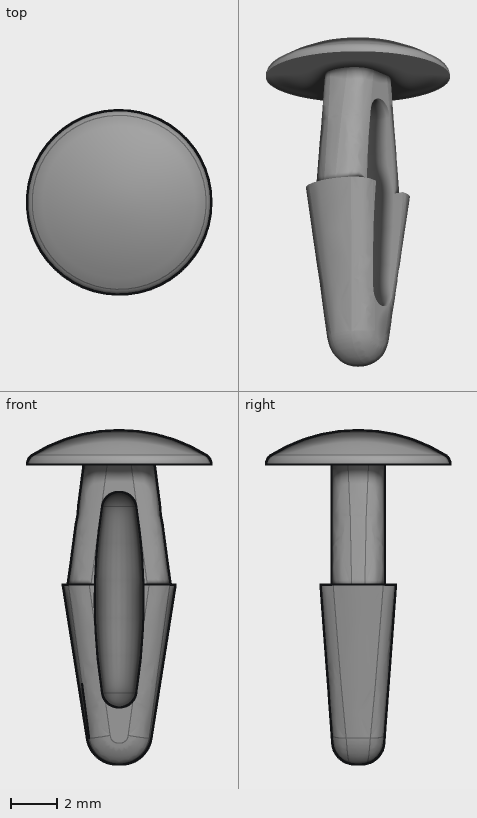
import cadquery as cq
import math


head_radius = 4.0
head_height = 1.5
dome_radius = 7.1

ledge_z = -5.2
tip_z = -13.0
neck_top_radius = 1.55
neck_ledge_radius = 2.24
neck_half_thickness = 1.16
tail_ledge_radius = 2.45
tail_tip_radius = 1.22
tail_ledge_half_thickness = 1.64
tail_tip_half_thickness = 1.06
corner_radius = 1.0
tip_fillet = 1.36
end_margin = 0.1

pocket_center_z = -5.85
pocket_half_length = 4.67
pocket_half_width = 1.06
pocket_end_radius = 0.75
pocket_axis_y = -0.52


def make_head():
    """Low dome whose rim is rounded down to the flat underside."""
    dome_center_z = head_height - dome_radius
    rim_gap = dome_radius**2 - dome_center_z**2 - head_radius**2
    rim_arc_radius = rim_gap / (2 * (dome_radius - head_radius))
    rim_center_x = head_radius - rim_arc_radius
    rim_angle = math.atan2(-dome_center_z, rim_center_x)
    dome_mid_angle = (rim_angle + math.pi / 2) / 2

    rim_mid = (
        rim_center_x + rim_arc_radius * math.cos(rim_angle / 2),
        rim_arc_radius * math.sin(rim_angle / 2),
    )
    rim_end = (
        rim_center_x + rim_arc_radius * math.cos(rim_angle),
        rim_arc_radius * math.sin(rim_angle),
    )
    dome_mid = (
        dome_radius * math.cos(dome_mid_angle),
        dome_center_z + dome_radius * math.sin(dome_mid_angle),
    )
    return (
        cq.Workplane("XZ")
        .lineTo(head_radius, 0)
        .threePointArc(rim_mid, rim_end)
        .threePointArc(dome_mid, (0, head_height))
        .close()
        .revolve(360, (0, 0), (0, 1))
    )


def cone_between(top_z, bottom_z, top_radius, bottom_radius):
    """Solid tapered cone around the Z axis."""
    return (
        cq.Workplane("XZ")
        .polyline([(0, top_z), (top_radius, top_z), (bottom_radius, bottom_z), (0, bottom_z)])
        .close()
        .revolve(360, (0, 0), (0, 1))
    )


def flatten(cone, top_z, bottom_z, top_half, bottom_half):
    """Trim a cone with a front and a back plane and round the edges of these flats."""
    slab = (
        cq.Workplane("YZ")
        .polyline([
            (-top_half, top_z),
            (top_half, top_z),
            (bottom_half, bottom_z),
            (-bottom_half, bottom_z),
        ])
        .close()
        .extrude(head_radius, both=True)
    )
    body = cone.intersect(slab)

    def borders_flat(edge):
        center = edge.Center()
        between_ends = bottom_z + end_margin < center.z < top_z - end_margin
        return between_ends and abs(center.y) > bottom_half - end_margin

    return body.edges().filter(borders_flat).fillet(corner_radius)


def make_shank():
    """Neck above the ledge and barbed tail with a rounded tip below it."""
    neck_cone = cone_between(0, ledge_z, neck_top_radius, neck_ledge_radius)
    neck = flatten(neck_cone, 0, ledge_z, neck_half_thickness, neck_half_thickness)

    tail_cone = cone_between(ledge_z, tip_z, tail_ledge_radius, tail_tip_radius)
    tail_cone = tail_cone.faces("<Z").edges().fillet(tip_fillet)
    tail = flatten(tail_cone, ledge_z, tip_z, tail_ledge_half_thickness, tail_tip_half_thickness)
    return neck.union(tail)


def make_pocket():
    """Spindle-shaped pocket: straight walls to the axis, then a revolved floor."""
    end_offset = pocket_half_length - pocket_end_radius
    width_gap = pocket_half_width - pocket_end_radius
    side_radius = pocket_end_radius + (end_offset**2 + width_gap**2) / (2 * width_gap)
    side_center_x = pocket_half_width - side_radius
    tangent_angle = math.atan2(end_offset, -side_center_x)
    tangent_x = pocket_end_radius * math.cos(tangent_angle)
    tangent_z = end_offset + pocket_end_radius * math.sin(tangent_angle)

    half_angle = (tangent_angle + math.pi / 2) / 2
    end_mid_x = pocket_end_radius * math.cos(half_angle)
    end_mid_z = end_offset + pocket_end_radius * math.sin(half_angle)

    plane = cq.Workplane("XZ", origin=(0, pocket_axis_y, pocket_center_z))
    half_outline = (
        plane.moveTo(0, -pocket_half_length)
        .threePointArc((end_mid_x, -end_mid_z), (tangent_x, -tangent_z))
        .threePointArc((pocket_half_width, 0), (tangent_x, tangent_z))
        .threePointArc((end_mid_x, end_mid_z), (0, pocket_half_length))
        .close()
    )
    floor = half_outline.revolve(360, (0, 0), (0, 1))
    walls = (
        plane.moveTo(tangent_x, -tangent_z)
        .threePointArc((pocket_half_width, 0), (tangent_x, tangent_z))
        .threePointArc((0, pocket_half_length), (-tangent_x, tangent_z))
        .threePointArc((-pocket_half_width, 0), (-tangent_x, -tangent_z))
        .threePointArc((0, -pocket_half_length), (tangent_x, -tangent_z))
        .close()
        .extrude(tail_ledge_radius)
    )
    return walls.union(floor)


result = make_head().union(make_shank()).cut(make_pocket())